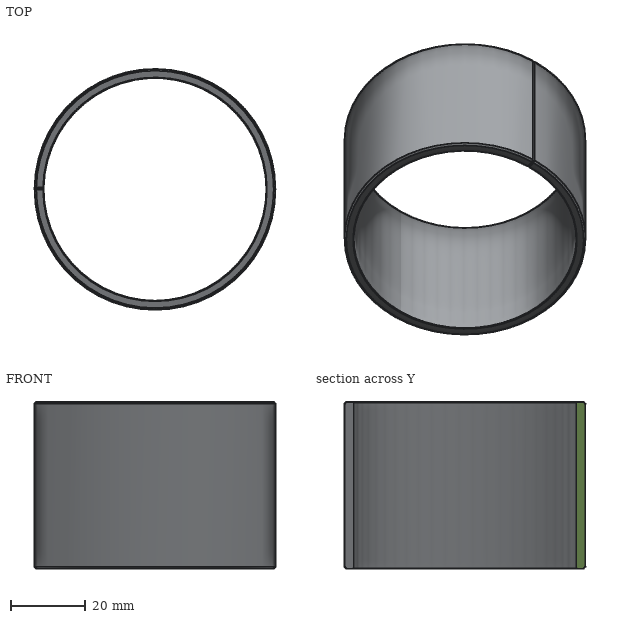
import cadquery as cq

outer_diameter = 65.0
inner_diameter = 60.0
length = 45.0

outer_chamfer = 0.5
inner_chamfer = 0.2

split_width = 0.5

outer_radius = outer_diameter / 2
inner_radius = inner_diameter / 2


def sleeve():
    """Revolve the wall section, which is chamfered on its four corners."""
    section = [
        (inner_radius, inner_chamfer),
        (inner_radius + inner_chamfer, 0),
        (outer_radius - outer_chamfer, 0),
        (outer_radius, outer_chamfer),
        (outer_radius, length - outer_chamfer),
        (outer_radius - outer_chamfer, length),
        (inner_radius + inner_chamfer, length),
        (inner_radius, length - inner_chamfer),
    ]
    profile = cq.Workplane("XZ").polyline(section).close()
    return profile.revolve(360, (0, 0, 0), (0, 1, 0))


def split():
    """Slab from the axis out past the -X wall; one face lies on Y = 0, the other on the +Y side."""
    slab = cq.Workplane("XY").box(outer_diameter, split_width, length, centered=False)
    return slab.translate((-outer_diameter, 0, 0))


result = sleeve().cut(split())